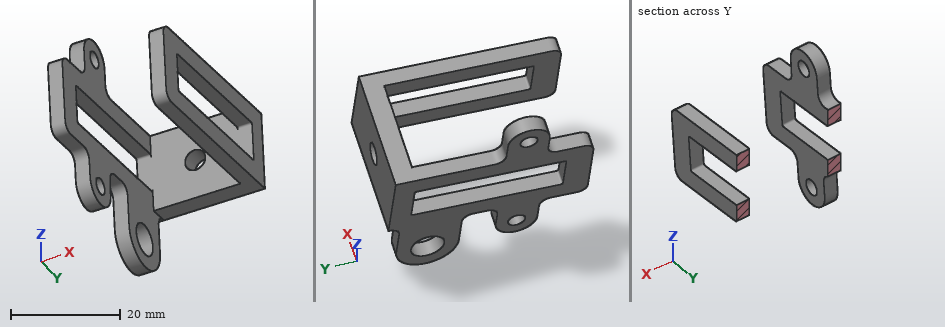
import cadquery as cq


tilt_angle = 5.0
bracket_width = 24.0
arm_length = 38.0
arm_height = 16.0
arm_thickness = 3.0
wall_thickness = 4.0
corner_radius = 2.0

window_length = 29.0
window_margin = 4.0
window_corner_radius = 0.4
window_height = arm_height - 2 * window_margin

wall_hole_diameter = 4.2

small_lug_reach = 25.0
small_lug_offset = 5.5
small_lug_radius = 4.0
small_lug_hole_diameter = 3.3
large_lug_reach = 8.22
large_lug_offset = 8.275
large_lug_radius = 6.0
large_lug_hole_diameter = 6.4
lug_fillet_radius = 2.0

lugs = [
    (small_lug_reach, small_lug_offset, 0.0, small_lug_radius, small_lug_hole_diameter),
    (small_lug_reach, -arm_height - small_lug_offset, -arm_height, small_lug_radius, small_lug_hole_diameter),
    (large_lug_reach, -arm_height - large_lug_offset, -arm_height, large_lug_radius, large_lug_hole_diameter),
]


def block(width, reach_start, length, top, height):
    """Box from X = 0, running forward from reach_start and down from top."""
    return cq.Workplane("XY").box(width, length, height, centered=False).translate(
        (0, -reach_start - length, top - height)
    )


def disc(reach, height, radius):
    """Cylinder along X through the thickness of the -X arm."""
    return cq.Workplane("YZ").center(-reach, height).circle(radius).extrude(arm_thickness)


def round_edge(body, reach, height, radius):
    """Round the edge of the -X arm that runs along X at the given place."""
    point = (arm_thickness / 2, -reach, height)
    return body.edges("|X").edges(cq.selectors.NearestToPointSelector(point)).fillet(radius)


def make_plain_arm():
    """Rectangular arm with its two front corners rounded."""
    arm = block(arm_thickness, 0, arm_length, 0, arm_height)
    return arm.edges("|X and <Y").fillet(corner_radius)


def add_lug(arm, reach, centre_height, edge_height, radius):
    """Add a round-ended lug and blend both its sides into the arm edge."""
    neck_top = max(centre_height, edge_height)
    neck_height = abs(centre_height - edge_height)
    neck = block(arm_thickness, reach - radius, 2 * radius, neck_top, neck_height)
    arm = arm.union(neck).union(disc(reach, centre_height, radius))
    for side in (-1, 1):
        arm = round_edge(arm, reach + side * radius, edge_height, lug_fillet_radius)
    return arm


def make_lug_arm():
    """Arm with its lugs and their holes."""
    arm = make_plain_arm()
    for reach, centre_height, edge_height, radius, hole_diameter in lugs:
        arm = add_lug(arm, reach, centre_height, edge_height, radius)
        arm = arm.cut(disc(reach, centre_height, hole_diameter / 2))
    return arm


def make_window_cutter():
    """Rounded rectangular bar through both arms."""
    bar = block(bracket_width, wall_thickness, window_length, -window_margin, window_height)
    return bar.edges("|X").fillet(window_corner_radius)


def make_wall_hole_cutter():
    """Cylinder through the middle of the rear wall."""
    return (
        cq.Workplane("XZ")
        .center(bracket_width / 2, -arm_height / 2)
        .circle(wall_hole_diameter / 2)
        .extrude(wall_thickness)
    )


rear_wall = block(bracket_width, 0, wall_thickness, 0, arm_height)
far_arm = make_plain_arm().translate((bracket_width - arm_thickness, 0, 0))
bracket = make_lug_arm().union(rear_wall).union(far_arm)
bracket = bracket.cut(make_window_cutter()).cut(make_wall_hole_cutter())

result = bracket.rotate((0, 0, 0), (1, 0, 0), tilt_angle)